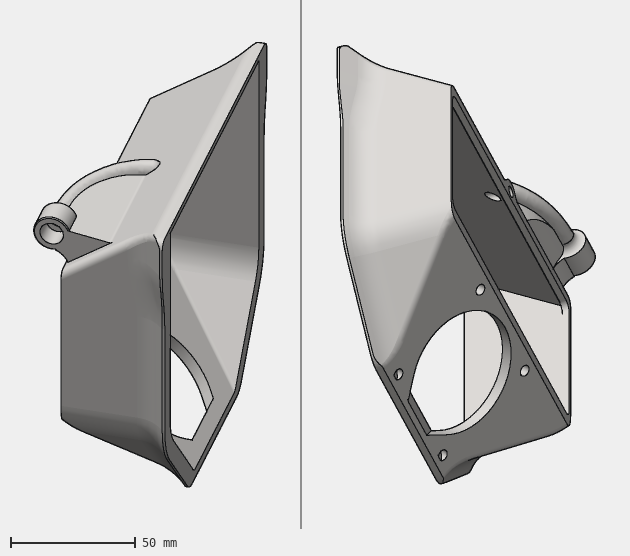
import cadquery as cq
import math

depth = 45.2
height = 143.7
rim_depth = 3.1
front_bottom = depth - rim_depth
front_top = 115.3
roof_angle = 34.9
roof_blend = 6.0
edge_radius = 3.3

half_width = 67.3
wall = 1.9
bend_z = 51.1
bend_radius = 21.5
bend_angle = 42.0

flare_start = 31.9
flare_radius = 14.5
flare_angle = 45.0
flare_width = 6.2
corner_half_width = 77.4
flare_grow = corner_half_width - half_width - flare_width
grow_bottom = 99.8
grow_top = 127.7
top_corner_radius = 3.9
bottom_corner_radius = 9.3

window_bottom = 47.7
window_top = 110.8
window_radius = 3.7
window_lip = 3.0
floor_radius = 1.9

fan_center_z = 20.9
fan_radius = 26.5
fan_hole_pitch = 49.8
fan_stop = 40.2
fan_cut = 18.5
screw_diameter = 4.6

boss_z = 115.0
boss_radius = 5.3
boss_depth = 14.0
boss_blend = 3.9

lug_x = -5.7
lug_z = 128.6
lug_diameter = 15.3
lug_radius = lug_diameter / 2
lug_end = -60.5
lug_length = 11.3
lug_chamfer = 0.5
lug_bore = 9.8
lug_bore_depth = 9.3
lug_hole_depth = 18.5

arm_radius = 4.0
arm_middle = (2.5, -17.0)
arm_tip = (20.9, -4.3)
arm_tip_direction = (1, 0.2)
neck_length = 4.2
neck_radius = 6.8
web_back = 20.1
web_foot = (1.1, 116.1)
web_root = (4.6, 114.5)
web_back_bottom = 123.8
web_back_top = 128.3
web_slope = 0.15
web_blend = 1.9
web_tilt = 12.0
web_hollow = 0.5

roof_slope = math.tan(math.radians(roof_angle))
overlap = 1.5
edge_clearance = 14.0
sin_bend = math.sin(math.radians(bend_angle))
cos_bend = math.cos(math.radians(bend_angle))
cos_half_bend = math.cos(math.radians(bend_angle / 2))
sin_half_bend = math.sin(math.radians(bend_angle / 2))
roof_end = (height - front_top) / roof_slope
lug_inner = lug_end + lug_length
bend_y = half_width - bend_radius


def bend_point(offset, cosine, sine):
    """Point on the wall bend, moved outward by offset."""
    radius = bend_radius + offset
    return (bend_y + radius * cosine, bend_z - radius * sine)


def slope_end(offset):
    """Point where the sloped wall, moved outward by offset, crosses Z = 0."""
    y, z = bend_point(offset, cos_bend, sin_bend)
    return (y - z * sin_bend / cos_bend, 0)


def half_outline(offset, grow):
    """Front outline of one half (Y > 0), widened by grow near the top."""
    width = half_width + offset
    outline = (
        cq.Workplane("YZ")
        .moveTo(0, 0)
        .lineTo(*slope_end(offset))
        .lineTo(*bend_point(offset, cos_bend, sin_bend))
        .threePointArc(bend_point(offset, cos_half_bend, sin_half_bend), (width, bend_z))
    )
    if grow:
        outline = (
            outline.lineTo(width, grow_bottom)
            .spline([(width + grow, grow_top)], tangents=[(0, 1), (0, 1)], includeCurrent=True)
            .lineTo(width + grow, height)
        )
    else:
        outline = outline.lineTo(width, height)
    return outline.lineTo(0, height).close().extrude(depth)


def both_sides(half):
    return half.union(half.mirror("XZ"))


def rim_outline():
    """Outer outline of the flared rim on one side, with rounded corners."""
    outline = half_outline(flare_width, flare_grow)
    corner_y = half_width + flare_width + flare_grow
    for corner, radius in (
        ((depth / 2, corner_y, height), top_corner_radius),
        ((depth / 2, *slope_end(flare_width)), bottom_corner_radius),
    ):
        outline = outline.edges(cq.selectors.NearestToPointSelector(corner)).fillet(radius)
    return outline


def silhouette():
    """Side shape of the body: sloped underside, flat front, sloped roof."""
    return (
        cq.Workplane("XZ")
        .polyline([
            (0, front_bottom), (front_bottom, 0), (depth, 0), (depth, height),
            (roof_end, height), (0, front_top),
        ])
        .close()
        .extrude(corner_half_width + overlap, both=True)
    )


def flare_profile(z):
    """Section of the flare at height z: concave arc running into a 45 degree line."""
    turn = math.radians(flare_angle)
    reach = flare_radius * math.sin(turn)
    rise = flare_radius * (1 - math.cos(turn))
    mid_x = flare_start + flare_radius * math.sin(turn / 2)
    mid_y = half_width + flare_radius * (1 - math.cos(turn / 2))
    arc_end = (flare_start + reach, half_width + rise)
    run = flare_width + flare_grow
    return (
        cq.Workplane("XY", origin=(0, 0, z))
        .moveTo(flare_start, half_width)
        .threePointArc((mid_x, mid_y), arc_end)
        .lineTo(arc_end[0] + run, arc_end[1] + run)
        .lineTo(arc_end[0] + run, half_width - wall)
        .lineTo(flare_start, half_width - wall)
        .close()
    )


def flare():
    """Flared rim along one side: follows the wall bend below, steps forward above."""
    tail_y, tail_z = slope_end(0)
    tail = edge_clearance / cos_bend
    lower_path = (
        cq.Workplane("YZ", origin=(flare_start, 0, 0))
        .moveTo(half_width, grow_bottom)
        .lineTo(half_width, bend_z)
        .threePointArc(bend_point(0, cos_half_bend, sin_half_bend),
                       bend_point(0, cos_bend, sin_bend))
        .lineTo(tail_y - tail * sin_bend, tail_z - edge_clearance)
    )
    upper_path = (
        cq.Workplane("XZ", origin=(0, half_width, 0))
        .moveTo(flare_start, grow_bottom)
        .spline([(flare_start - flare_grow, grow_top)], tangents=[(0, 1), (0, 1)], includeCurrent=True)
        .lineTo(flare_start - flare_grow, height + overlap)
    )
    lower = flare_profile(grow_bottom).sweep(lower_path)
    upper = flare_profile(grow_bottom).sweep(upper_path)
    return lower.union(upper).intersect(half_outline(flare_width, flare_grow))


def outer_body():
    """Solid outside of the housing with its long edges rounded."""
    shape = both_sides(half_outline(0, 0).union(flare())).intersect(silhouette())
    roof_x = flare_start / 2
    slope_x = front_bottom / 2
    slope_y = slope_end(0)[0] + slope_x * sin_bend / cos_bend
    for side in (1, -1):
        for edge in (
            (roof_x, side * half_width, front_top + roof_slope * roof_x),
            (slope_x, side * slope_y, front_bottom - slope_x),
        ):
            shape = shape.edges(cq.selectors.NearestToPointSelector(edge)).fillet(edge_radius)
    roof_ridge = cq.selectors.NearestToPointSelector((roof_end, 0, height))
    blended = silhouette().edges(roof_ridge).fillet(roof_blend)
    return shape.intersect(both_sides(rim_outline())).intersect(blended)


def screw_boss():
    """Round boss on the roof around the front screw hole."""
    return cq.Workplane("YZ").center(0, boss_z).circle(boss_radius).extrude(boss_depth)


def web_profile(radius):
    """Section of the web from a round of the given radius at the lug axis back to the roof."""
    tilt = math.radians(web_tilt)
    start = (lug_x + radius * math.sin(tilt), lug_z - radius * math.cos(tilt))
    middle = (
        (start[0] + web_foot[0]) / 2 + web_hollow,
        (start[1] + web_foot[1]) / 2 + web_hollow,
    )
    return (
        cq.Workplane("XZ")
        .moveTo(lug_x, lug_z)
        .lineTo(*start)
        .threePointArc(middle, web_foot)
        .lineTo(*web_root)
        .lineTo(web_back, web_back_bottom)
        .lineTo(web_back, web_back_top)
        .lineTo(lug_x, web_back_top + web_slope * (web_back - lug_x))
        .close()
    )


def arm_path(workplane):
    return workplane.spline(
        [arm_middle, arm_tip], tangents=[(0, 1), arm_tip_direction], includeCurrent=True
    )


def web():
    """Web that ties the lug and its arm to the roof."""
    lug_web = web_profile(lug_radius).extrude(lug_length).translate((0, lug_inner, 0))
    plan = (
        arm_path(cq.Workplane("XY").moveTo(lug_x, lug_inner))
        .lineTo(web_back, arm_tip[1])
        .lineTo(web_back, lug_inner)
        .close()
        .extrude(height)
    )
    arm_web = web_profile(arm_radius).extrude(-lug_inner).intersect(plan)
    return lug_web.union(arm_web)


def lug_arm():
    """Lug with a flared neck and a curved round arm that runs into the roof."""
    lug = (
        cq.Workplane("XZ", origin=(lug_x, lug_end, lug_z))
        .circle(lug_radius)
        .extrude(-lug_length)
        .faces("<Y").chamfer(lug_chamfer)
    )
    neck_end = lug_inner + neck_length
    quarter_arc = 1 - math.sqrt(0.5)
    neck_hollow = (
        arm_radius + quarter_arc * (neck_radius - arm_radius),
        lug_inner + quarter_arc * neck_length,
    )
    neck = (
        cq.Workplane("XY", origin=(lug_x, 0, lug_z))
        .moveTo(0, lug_inner)
        .lineTo(neck_radius, lug_inner)
        .threePointArc(neck_hollow, (arm_radius, neck_end))
        .lineTo(0, neck_end)
        .close()
        .revolve(360, (0, 0, 0), (0, 1, 0))
    )
    axis_plane = cq.Workplane("XY", origin=(0, 0, lug_z))
    arm = (
        cq.Workplane("XZ", origin=(lug_x, lug_inner, lug_z))
        .circle(arm_radius)
        .sweep(arm_path(axis_plane.moveTo(lug_x, lug_inner)))
    )
    tip = cq.Workplane("XY", origin=(*arm_tip, lug_z)).sphere(arm_radius)
    return lug.union(neck).union(arm).union(tip)


def lug_holes():
    """Wide bore in the end of the lug with a thin hole continuing behind it."""
    end = cq.Workplane("XZ", origin=(lug_x, lug_end, lug_z))
    bore = end.circle(lug_bore / 2).extrude(-lug_bore_depth)
    return bore.union(end.circle(screw_diameter / 2).extrude(-lug_hole_depth))


def cavity():
    """Hollow inside: rounded front window opening onto a sloped roof and floor."""
    back = depth + overlap
    floor_front = window_bottom + wall
    roof_front = window_top - wall * roof_slope
    section = (
        cq.Workplane("XZ")
        .polyline([
            (window_lip, floor_front - window_lip), (back, floor_front - back),
            (back, roof_front + roof_slope * back),
            (window_lip, roof_front + roof_slope * window_lip),
        ])
        .close()
        .extrude(corner_half_width, both=True)
    )
    inner_walls = both_sides(half_outline(-wall, 0))
    inner_walls = inner_walls.union(inner_walls.translate((overlap, 0, 0)))
    hollow = section.intersect(inner_walls)
    floor_x = depth / 2
    floor_z = floor_front - floor_x
    floor_y = slope_end(-wall)[0] + floor_z * sin_bend / cos_bend
    for side in (1, -1):
        floor_edge = cq.selectors.NearestToPointSelector((floor_x, side * floor_y, floor_z))
        hollow = hollow.edges(floor_edge).fillet(floor_radius)
    window = (
        cq.Workplane("YZ", origin=(-overlap, 0, 0))
        .center(0, (window_bottom + window_top) / 2)
        .rect(2 * (half_width - wall), window_top - window_bottom)
        .extrude(overlap + window_lip + wall)
        .edges("|X").fillet(window_radius)
    )
    return hollow.union(window)


def fan_opening():
    """Teardrop opening and four screw holes, square to the sloped underside."""
    slope_plane = cq.Plane(
        origin=(front_bottom - fan_center_z, 0, fan_center_z),
        xDir=(0, 1, 0),
        normal=(-1, 0, -1),
    )
    tangent = fan_radius * math.sqrt(0.5)
    holes = (
        cq.Workplane(slope_plane)
        .moveTo(-tangent, tangent)
        .threePointArc((0, -fan_radius), (tangent, tangent))
        .lineTo(0, 2 * tangent)
        .close()
        .extrude(fan_cut / 2, both=True)
        .union(
            cq.Workplane(slope_plane)
            .rect(fan_hole_pitch, fan_hole_pitch, forConstruction=True)
            .vertices()
            .circle(screw_diameter / 2)
            .extrude(fan_cut / 2, both=True)
        )
    )
    lip = cq.Workplane("XY").box(depth, 2 * half_width, height, centered=(False, True, True))
    return holes.cut(lip.translate((fan_stop, 0, 0)))


def screw_hole():
    return cq.Workplane("YZ").center(0, boss_z).circle(screw_diameter / 2).extrude(boss_depth)


def roof_point(x, y):
    return (x, y, front_top + roof_slope * x)


def blend_to_roof(shape, points, radius):
    """Round the joints on the roof that pass nearest to the given points."""
    joints = [shape.edges(cq.selectors.NearestToPointSelector(point)).val() for point in points]
    return shape.newObject(joints).fillet(radius)


boss_back = (boss_z + boss_radius - front_top) / roof_slope
web_crest = (web_back_top + web_slope * web_back - front_top) / (roof_slope + web_slope)
web_middle_y = (lug_end + arm_tip[1]) / 2
web_front = ((web_foot[0] + web_crest) / 2, (arm_middle[1] + arm_tip[1]) / 2)

result = outer_body().union(web())
web_joints = (roof_point(web_crest, web_middle_y), roof_point(*web_front))
result = blend_to_roof(result, web_joints, web_blend)
result = result.union(screw_boss())
result = blend_to_roof(result, (roof_point(boss_back, 0),), boss_blend)
result = (
    result.union(lug_arm())
    .cut(cavity())
    .cut(fan_opening())
    .cut(screw_hole())
    .cut(lug_holes())
)